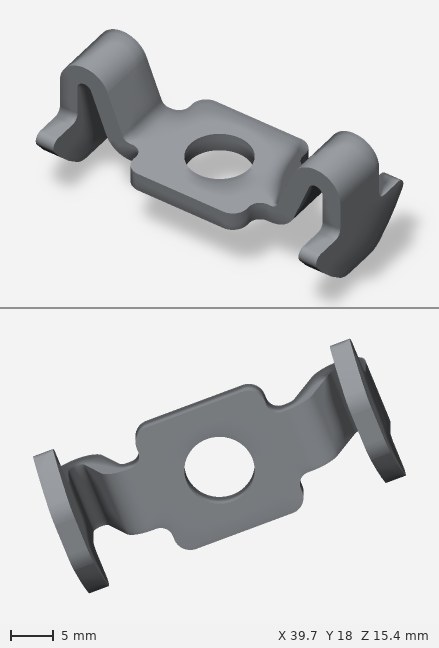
import cadquery as cq
import math

length = 39.7
height = 15.4
thickness = 2.5
strip_width = 8.0

inner_radius = 1.0
outer_radius = inner_radius + thickness
lower_bend_x = 10.0

plate_size = 16.05
plate_bottom = 4.4
plate_corner_radius = 2.0
plate_neck_radius = 1.5
hole_diameter = 8.2

foot_width = 18.0
shoulder_z = 7.0
foot_neck_radius = 1.0
tip_radius = 1.0
flank_radius = 20.0
flank_start_angle = math.radians(-35)
foot_base_radius = 3.5

upper_center = (length / 2 - outer_radius, height - outer_radius)
lower_center = (lower_bend_x, plate_bottom + outer_radius)


def on_circle(center, radius, angle):
    """Point on a circle at the given angle."""
    return (center[0] + radius * math.cos(angle), center[1] + radius * math.sin(angle))


def make_strip():
    """Bent strip, of constant thickness, from the part's middle to the foot of the +X arm."""
    run = upper_center[0] - lower_center[0]
    rise = upper_center[1] - lower_center[1]
    slope = math.atan2(rise, run) + math.asin((inner_radius + outer_radius) / math.hypot(run, rise))
    lower_end = slope - math.pi / 2
    upper_end = slope + math.pi / 2
    lower_mid = (lower_end - math.pi / 2) / 2
    upper_mid = upper_end / 2
    return (
        cq.Workplane("XZ")
        .moveTo(0, plate_bottom)
        .lineTo(lower_bend_x, plate_bottom)
        .threePointArc(
            on_circle(lower_center, outer_radius, lower_mid),
            on_circle(lower_center, outer_radius, lower_end),
        )
        .lineTo(*on_circle(upper_center, inner_radius, upper_end))
        .threePointArc(
            on_circle(upper_center, inner_radius, upper_mid),
            on_circle(upper_center, inner_radius, 0),
        )
        .lineTo(length / 2 - thickness, shoulder_z - tip_radius)
        .lineTo(length / 2, shoulder_z - tip_radius)
        .lineTo(*on_circle(upper_center, outer_radius, 0))
        .threePointArc(
            on_circle(upper_center, outer_radius, upper_mid),
            on_circle(upper_center, outer_radius, upper_end),
        )
        .lineTo(*on_circle(lower_center, inner_radius, lower_end))
        .threePointArc(
            on_circle(lower_center, inner_radius, lower_mid),
            on_circle(lower_center, inner_radius, -math.pi / 2),
        )
        .lineTo(0, plate_bottom + thickness)
        .close()
        .extrude(strip_width / 2, both=True)
    )


def make_foot():
    """Hook foot of the +X arm: rounded tips, bowed flanks and a flat base, all tangent."""
    tip_center = (foot_width / 2 - tip_radius, shoulder_z - tip_radius)
    flank_center = on_circle(tip_center, tip_radius - flank_radius, flank_start_angle)
    drop = foot_base_radius - flank_center[1]
    base_angle = math.asin(drop / (flank_radius - foot_base_radius))
    base_center = on_circle(flank_center, flank_radius - foot_base_radius, base_angle)

    neck_center = (strip_width / 2 + foot_neck_radius, shoulder_z + foot_neck_radius)
    half = (
        cq.Workplane("YZ")
        .workplane(offset=length / 2 - thickness)
        .moveTo(0, 0)
        .lineTo(base_center[0], 0)
        .threePointArc(
            on_circle(base_center, foot_base_radius, (base_angle - math.pi / 2) / 2),
            on_circle(base_center, foot_base_radius, base_angle),
        )
        .threePointArc(
            on_circle(flank_center, flank_radius, (base_angle + flank_start_angle) / 2),
            on_circle(tip_center, tip_radius, flank_start_angle),
        )
        .threePointArc(
            on_circle(tip_center, tip_radius, (flank_start_angle + math.pi / 2) / 2),
            (tip_center[0], shoulder_z),
        )
        .lineTo(neck_center[0], shoulder_z)
        .threePointArc(
            on_circle(neck_center, foot_neck_radius, -3 * math.pi / 4),
            (strip_width / 2, neck_center[1]),
        )
        .lineTo(0, neck_center[1])
        .close()
        .extrude(thickness)
    )
    return half.union(half.mirror("XZ"))


def make_plate():
    """Flat plate with rounded corners, flared into the strip on both sides."""
    plate = (
        cq.Workplane("XY", origin=(0, 0, plate_bottom))
        .rect(plate_size, plate_size)
        .extrude(thickness)
        .edges("|Z")
        .fillet(plate_corner_radius)
    )
    neck_x = plate_size / 2 + plate_neck_radius
    neck_y = strip_width / 2 + plate_neck_radius
    flare = (
        cq.Workplane("XY", origin=(0, 0, plate_bottom))
        .rect(2 * neck_x, 2 * neck_y)
        .extrude(thickness)
    )
    neck_rounds = (
        cq.Workplane("XY", origin=(0, 0, plate_bottom))
        .rect(2 * neck_x, 2 * neck_y, forConstruction=True)
        .vertices()
        .circle(plate_neck_radius)
        .extrude(thickness)
    )
    return plate.union(flare.cut(neck_rounds))


arm = make_strip().union(make_foot())
hole = (
    cq.Workplane("XY", origin=(0, 0, plate_bottom))
    .circle(hole_diameter / 2)
    .extrude(thickness)
)
result = arm.union(arm.mirror("YZ")).union(make_plate()).cut(hole).clean()